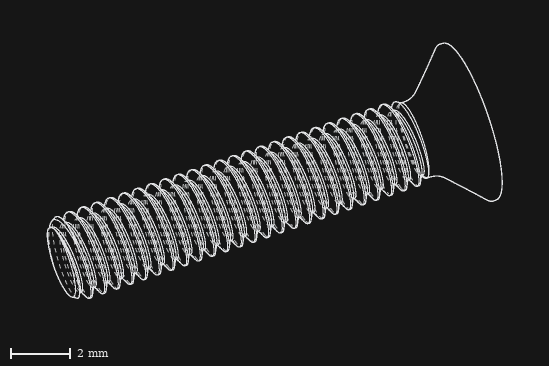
import cadquery as cq
import math


length = 15.0

head_radius = 5.6 / 2
rim_height = 0.18
rim_fillet_radius = 0.06
cone_half_angle = math.radians(45)

neck_radius = 2.69 / 2
neck_fillet_radius = 0.8
neck_end_depth = 2.09

major_radius = 3.0 / 2
pitch = 0.5
flank_half_angle = math.radians(30)
sharp_height = pitch / 2 / math.tan(flank_half_angle)
thread_depth = sharp_height * 17 / 24
root_radius = major_radius - thread_depth
crest_width = pitch / 8
thread_length = length - neck_end_depth
tip_radius = 1.28
end_cone_slope = math.tan(math.radians(30))
envelope_clearance = 0.1
ridge_overlap = 0.02


def make_head():
    """Revolved head with its rim, cone, fillet and plain neck."""
    rim_bottom = length - rim_height
    fillet_top_radius = neck_radius + neck_fillet_radius * (1 - math.cos(cone_half_angle))
    fillet_top = rim_bottom - (head_radius - fillet_top_radius) / math.tan(cone_half_angle)
    fillet_bottom = fillet_top - neck_fillet_radius * math.sin(cone_half_angle)
    mid_angle = cone_half_angle / 2
    fillet_mid = (
        neck_radius + neck_fillet_radius * (1 - math.cos(mid_angle)),
        fillet_bottom + neck_fillet_radius * math.sin(mid_angle),
    )
    head = (
        cq.Workplane("XZ")
        .moveTo(0, thread_length)
        .lineTo(neck_radius, thread_length)
        .lineTo(neck_radius, fillet_bottom)
        .threePointArc(fillet_mid, (fillet_top_radius, fillet_top))
        .lineTo(head_radius, rim_bottom)
        .lineTo(head_radius, length)
        .lineTo(0, length)
        .close()
        .revolve(360, (0, 0, 0), (0, 1, 0))
    )
    rim_edges = head.edges(cq.selectors.RadiusNthSelector(-1))
    return rim_edges.fillet(rim_fillet_radius)


def make_thread_envelope():
    """Revolved limit of the thread: a cone at the tip and one below the neck.

    The cones run on past the crests, so the cylinder between them clears the ridge.
    """
    outer_radius = major_radius + envelope_clearance
    tip_cone_height = (outer_radius - tip_radius) / end_cone_slope
    lead_in_height = (outer_radius - neck_radius) / end_cone_slope
    return (
        cq.Workplane("XZ")
        .lineTo(tip_radius, 0)
        .lineTo(outer_radius, tip_cone_height)
        .lineTo(outer_radius, thread_length - lead_in_height)
        .lineTo(neck_radius, thread_length)
        .lineTo(0, thread_length)
        .close()
        .revolve(360, (0, 0, 0), (0, 1, 0))
    )


def make_ridge():
    """Right-handed helical ridge that overruns both ends of the thread by a pitch."""
    base_radius = root_radius - ridge_overlap
    base_half_width = crest_width / 2 + (major_radius - base_radius) * math.tan(flank_half_angle)
    helix = cq.Wire.makeHelix(pitch, thread_length + 2 * pitch, base_radius)
    ridge = (
        cq.Workplane("XZ")
        .moveTo(base_radius, -base_half_width)
        .lineTo(major_radius, -crest_width / 2)
        .lineTo(major_radius, crest_width / 2)
        .lineTo(base_radius, base_half_width)
        .close()
        .sweep(cq.Workplane(helix), isFrenet=True)
    )
    return ridge.translate((0, 0, -pitch))


def make_thread():
    """Core cylinder with the ridge trimmed to the chamfered envelope."""
    core = cq.Workplane("XY").circle(root_radius).extrude(thread_length)
    ridge = make_ridge().intersect(make_thread_envelope())
    return core.union(ridge)


upright_screw = make_head().union(make_thread())
laid_screw = upright_screw.rotate((0, 0, 0), (1, 0, 0), -90)
result = laid_screw.translate((0, -length, 0)).solids()